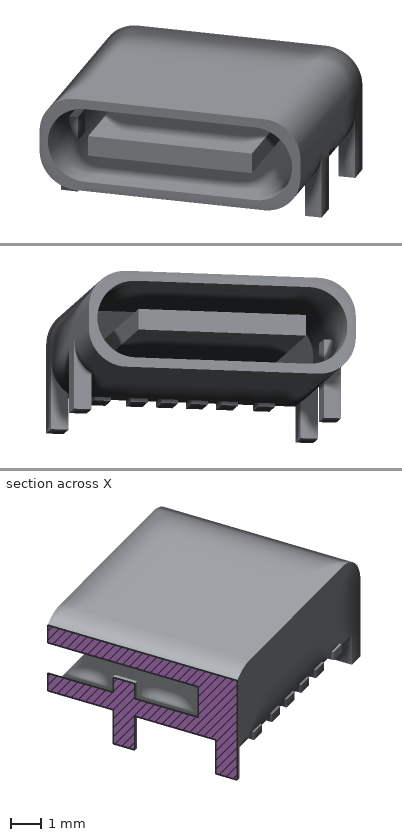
import cadquery as cq

WIDTH = 8.94
SHELL_HEIGHT = 3.2
SHELL_DEPTH = 7.07
CORNER_RADIUS = 1.25
SIDE_WALL = 0.29
FLAT_WALL = 0.32

BACK_DEPTH = 1.46
STEP_HEIGHT = 0.19

TONGUE_WIDTH = 5.61
TONGUE_HEIGHT = 0.69

LEG_THICKNESS = 0.58
LEG_LENGTH = 0.82
LEG_DROP = 1.01
FRONT_LEG_START = 2.43

CONTACT_WIDTH = 0.55
CONTACT_HEIGHT = 0.31
CONTACT_OVERHANG = 0.08
CONTACT_INSET = LEG_LENGTH
CONTACT_OFFSETS = (0.5, 1.51, 2.745)

MID_HEIGHT = SHELL_HEIGHT / 2


def block(x_center, width, y_start, length, z_bottom, height):
    """Box centred across X, growing along +Y and +Z."""
    box = cq.Workplane("XY").box(width, length, height, centered=(True, False, False))
    return box.translate((x_center, y_start, z_bottom))


def make_shell():
    outer = block(0, WIDTH, 0, SHELL_DEPTH, 0, SHELL_HEIGHT)
    outer = outer.edges("|Y").fillet(CORNER_RADIUS)
    cavity_depth = SHELL_DEPTH - BACK_DEPTH
    cavity = (
        cq.Workplane("XZ", origin=(0, 0, MID_HEIGHT))
        .slot2D(WIDTH - 2 * SIDE_WALL, SHELL_HEIGHT - 2 * FLAT_WALL)
        .extrude(-cavity_depth)
    )
    step = block(0, WIDTH, cavity_depth, BACK_DEPTH, 0, STEP_HEIGHT)
    return outer.cut(cavity).cut(step)


def make_tongue():
    length = SHELL_DEPTH - BACK_DEPTH
    z_bottom = MID_HEIGHT - TONGUE_HEIGHT / 2
    return block(0, TONGUE_WIDTH, 0, length, z_bottom, TONGUE_HEIGHT)


def make_leg(side, y_start):
    x_center = side * (WIDTH - LEG_THICKNESS) / 2
    return block(x_center, LEG_THICKNESS, y_start, LEG_LENGTH, -LEG_DROP, LEG_DROP + MID_HEIGHT)


def make_contact(x_center):
    length = CONTACT_INSET + CONTACT_OVERHANG
    return block(x_center, CONTACT_WIDTH, SHELL_DEPTH - CONTACT_INSET, length, 0, CONTACT_HEIGHT)


result = make_shell().union(make_tongue())
for side in (-1, 1):
    for leg_start in (FRONT_LEG_START, SHELL_DEPTH - LEG_LENGTH):
        result = result.union(make_leg(side, leg_start))
    for offset in CONTACT_OFFSETS:
        result = result.union(make_contact(side * offset))